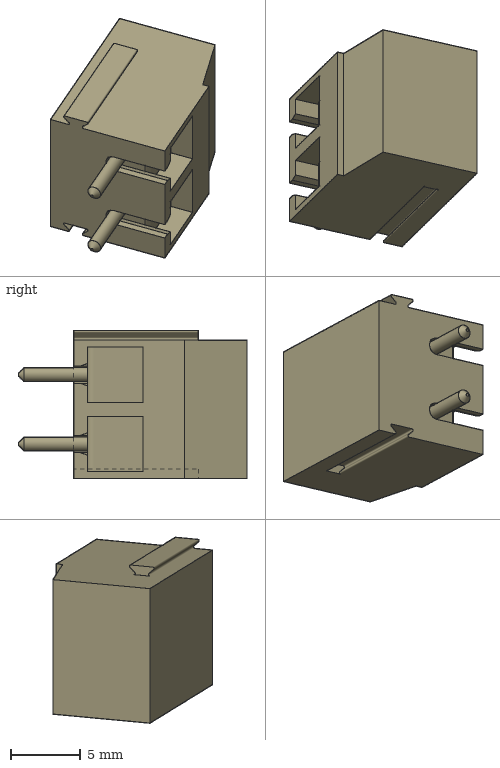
import cadquery as cq
import math


overall_length = 16.5
housing_depth = 9.0
housing_length = 12.5
pole_pitch = 5.0
pole_count = 2
housing_height = pole_count * pole_pitch
shoulder_y = 8.0
shoulder_depth = 8.5
back_depth = 7.5

rail_x = 2.0
rail_length = 9.0
rail_height = 0.7
rail_top_width = 2.21
rail_neck_width = 0.73
rail_round = 0.1

pin_diameter = 1.0
pin_length = overall_length - housing_length
pin_x = 5.0
tip_length = 0.41
tip_diameter = 0.2

slot_width = 1.25
slot_depth = 1.0
slot_straight_depth = 0.5
slot_flare = 0.18

chamber_start_x = 7.01
chamber_height = 4.0
chamber_length = 4.0
end_wall_x = 7.31
end_wall_radius = 0.5


def make_housing():
    """Block with a shoulder and a slanted upper part on the +X side."""
    outline = [
        (0, 0),
        (housing_depth, 0),
        (housing_depth, shoulder_y),
        (shoulder_depth, shoulder_y),
        (back_depth, housing_length),
        (0, housing_length),
    ]
    return cq.Workplane("XY").polyline(outline).close().extrude(housing_height)


def make_dovetail(base_z):
    """Dovetail bar along Y whose narrow neck sits at base_z; all its corners are rounded."""
    flank_angle = math.atan2(rail_height, (rail_top_width - rail_neck_width) / 2)
    tangent_length = rail_round / math.tan(flank_angle / 2)
    normal_x = rail_round * math.sin(flank_angle)
    normal_z = rail_round * math.cos(flank_angle)

    neck_x = rail_neck_width / 2 + tangent_length
    neck_z = rail_round
    rim_x = rail_top_width / 2 - tangent_length
    rim_z = rail_height - rail_round

    half_profile = (
        cq.Workplane("XZ", origin=(rail_x, 0, base_z))
        .lineTo(neck_x, 0)
        .threePointArc((neck_x - rail_round, neck_z), (neck_x - normal_x, neck_z + normal_z))
        .lineTo(rim_x + normal_x, rim_z - normal_z)
        .threePointArc((rim_x + rail_round, rim_z), (rim_x, rail_height))
        .lineTo(0, rail_height)
    )
    return half_profile.mirrorY().extrude(-rail_length)


def make_slot(center_z):
    """Round-ended slot in the pin face, open toward +X."""
    half_width = slot_width / 2
    run = housing_depth - pin_x
    pin_face = cq.Workplane("XZ", origin=(pin_x, 0, center_z))
    round_end = pin_face.circle(half_width).extrude(-slot_depth)
    upper_side = [
        (0, half_width),
        (slot_straight_depth, half_width),
        (slot_depth, half_width + slot_flare),
    ]
    lower_side = [(y, -z) for y, z in reversed(upper_side)]
    section = cq.Workplane("YZ", origin=(pin_x, 0, center_z)).polyline(upper_side + lower_side).close()
    return round_end.union(section.extrude(run))


def make_chamber(center_z):
    """Wire chamber open on the +X face; its inner end wall rounds inward up to the slot floor."""
    arc_x = end_wall_x - end_wall_radius
    arc_start_angle = math.acos((chamber_start_x - arc_x) / end_wall_radius)
    arc_y = slot_depth + end_wall_radius * math.sin(arc_start_angle)
    arc_middle = (
        arc_x + end_wall_radius * math.cos(arc_start_angle / 2),
        arc_y - end_wall_radius * math.sin(arc_start_angle / 2),
    )
    far_y = slot_depth + chamber_length
    outline = (
        cq.Workplane("XY", origin=(0, 0, center_z - chamber_height / 2))
        .moveTo(chamber_start_x, slot_depth)
        .threePointArc(arc_middle, (end_wall_x, arc_y))
        .lineTo(end_wall_x, far_y)
        .lineTo(housing_depth, far_y)
        .lineTo(housing_depth, slot_depth)
        .close()
    )
    return outline.extrude(chamber_height)


def make_pin(center_z):
    """Round pin with a blunt conical tip, standing on the slot floor."""
    profile = [
        (0, slot_depth),
        (pin_diameter / 2, slot_depth),
        (pin_diameter / 2, tip_length - pin_length),
        (tip_diameter / 2, -pin_length),
        (0, -pin_length),
    ]
    pin = cq.Workplane("XY").polyline(profile).close().revolve(360, (0, 0), (0, 1))
    return pin.translate((pin_x, 0, center_z))


result = make_housing().union(make_dovetail(housing_height)).cut(make_dovetail(0))

for pole in range(pole_count):
    pole_z = (pole + 0.5) * pole_pitch
    result = result.cut(make_slot(pole_z)).cut(make_chamber(pole_z)).union(make_pin(pole_z))